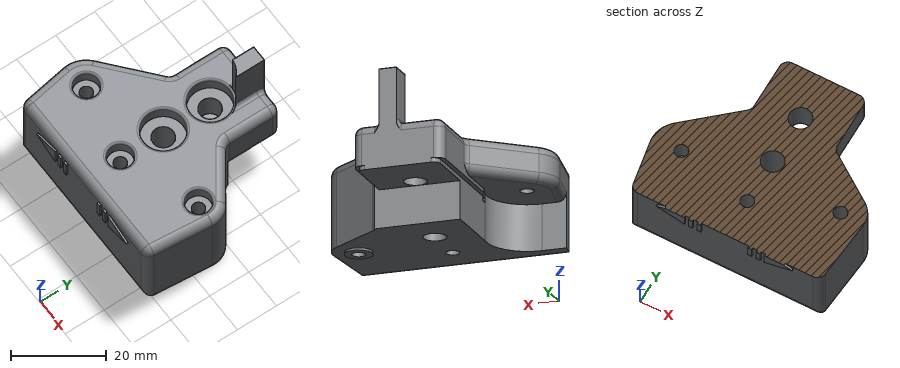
import math

import cadquery as cq


NECK_HALF_WIDTH = 10.0
BACK_Y = 22.97
FRONT_Y = -20.45
BODY_HEIGHT = 18.35
PLATE_THICKNESS = 8.05
EDGE_RADIUS = 2.0
NECK_ROOT_Y = 9.95

LARGE_HOLE_Y = (0.0, 12.0)
LARGE_HOLE = {"bore": 5.1, "counterbore": 10.0, "depth": 3.3}
SMALL_HOLE = {"bore": 3.0, "counterbore": 6.0, "depth": 3.0}
LEFT_HOLE = (-17.98, -7.0)
RIGHT_HOLE = (18.42, -4.0)
FRONT_HOLE = (0.0, -11.0)
RIM_RADIUS = 0.5

LEFT_WING_RADIUS = 6.95
RIGHT_WING_RADIUS = 5.71
FRONT_CORNER_LEFT_X = -21.0
FRONT_CORNER_RIGHT_X = 20.9

CLEARANCE_RADIUS = 9.05
NECK_STEP_Z = -8.9
NECK_BOTTOM_Z = -9.85
NECK_STEP_INSET = 1.0
NECK_FOOT_FRONT_Y = -6.0
NECK_FOOT_CORNER_RADIUS = 1.6
BLOCK_BACK_Y = 9.4

TAB_LEFT_X = 0.3
TAB_WIDTH = 3.85
TAB_HEIGHT = 12.0
TAB_ROOT_RADIUS = 1.0

PAD_DIAMETER = 6.0
PAD_HEIGHT = 0.5

MARK_RELIEF = 0.5
MARK_HEIGHT = 4.0
MARK_TOP_Z = -2.0
BAR_WIDTH = 1.0
BAR_INNER_X = (5.55, 7.6)
ARROW_BASE_X = 9.55
ARROW_TIP_X = 16.25

OVERSIZE = 100.0


def box(x_range, y_range, z_range):
    """Box spanning the given (low, high) ranges."""
    size = [high - low for low, high in (x_range, y_range, z_range)]
    return cq.Workplane("XY").box(*size, centered=False).translate((x_range[0], y_range[0], z_range[0]))


def polar(center, radius, angle):
    """Point at the given radius and angle from a center."""
    return (center[0] + radius * math.cos(angle), center[1] + radius * math.sin(angle))


def travel_angle(start, end):
    """Direction of the line tangent to two corner circles, which lie on its left (radius > 0) or right."""
    dx = end[0] - start[0]
    dy = end[1] - start[1]
    return math.atan2(dy, dx) - math.asin((end[2] - start[2]) / math.hypot(dx, dy))


def outline():
    """Closed outline of tangent lines and arcs, counterclockwise around the corner circles."""
    tip_x = NECK_HALF_WIDTH - EDGE_RADIUS
    tip_y = BACK_Y - EDGE_RADIUS
    root_x = NECK_HALF_WIDTH + EDGE_RADIUS
    front_y = FRONT_Y + EDGE_RADIUS
    corners = [
        (FRONT_CORNER_LEFT_X, front_y, EDGE_RADIUS),
        (FRONT_CORNER_RIGHT_X, front_y, EDGE_RADIUS),
        (*RIGHT_HOLE, RIGHT_WING_RADIUS),
        (root_x, NECK_ROOT_Y, -EDGE_RADIUS),
        (tip_x, tip_y, EDGE_RADIUS),
        (-tip_x, tip_y, EDGE_RADIUS),
        (-root_x, NECK_ROOT_Y, -EDGE_RADIUS),
        (*LEFT_HOLE, LEFT_WING_RADIUS),
    ]
    path = None
    for index, corner in enumerate(corners):
        x, y, radius = corner
        before = corners[index - 1]
        after = corners[(index + 1) % len(corners)]
        entry = travel_angle(before, corner) - math.pi / 2
        leave = travel_angle(corner, after) - math.pi / 2
        turn = math.remainder(leave - entry, 2 * math.pi)
        entry_point = polar((x, y), radius, entry)
        if path is None:
            path = cq.Workplane("XY").moveTo(*entry_point)
        else:
            path = path.lineTo(*entry_point)
        middle_point = polar((x, y), radius, entry + turn / 2)
        path = path.threePointArc(middle_point, polar((x, y), radius, leave))
    return path.close()


def make_plate():
    """Upper plate, rounded along its top and bottom edges."""
    return outline().extrude(-PLATE_THICKNESS).faces("<Z or >Z").edges().fillet(EDGE_RADIUS)


def make_full_body():
    """Outline at full height, rounded along the top edge and the lower front edge."""
    body = outline().extrude(-BODY_HEIGHT).faces(">Z").edges().fillet(EDGE_RADIUS)
    envelope = box((-OVERSIZE, OVERSIZE), (FRONT_Y, BACK_Y), (-BODY_HEIGHT, 0))
    envelope = envelope.edges("<Y and <Z").fillet(EDGE_RADIUS)
    return body.intersect(envelope)


def make_neck_foot():
    """Raised foot under the neck, with rounded corners at its back and at its front left."""
    half_width = NECK_HALF_WIDTH - NECK_STEP_INSET
    foot = box((-half_width, half_width), (NECK_FOOT_FRONT_Y, BACK_Y), (NECK_BOTTOM_Z, NECK_STEP_Z))
    foot = foot.edges("|Z and >Y").fillet(NECK_FOOT_CORNER_RADIUS)
    return foot.edges("|Z and <Y and <X").fillet(NECK_FOOT_CORNER_RADIUS)


def make_underside_space():
    """Space below the plate: round clearance under the left wing and room around the neck foot."""
    clearance_x, clearance_y = LEFT_HOLE
    wall_y = clearance_y - CLEARANCE_RADIUS
    step_x = NECK_HALF_WIDTH - NECK_STEP_INSET
    under_rounding = (-BODY_HEIGHT, -PLATE_THICKNESS + EDGE_RADIUS)
    under_step = (-BODY_HEIGHT, NECK_STEP_Z)

    space = (
        cq.Workplane("XY", origin=(clearance_x, clearance_y, -BODY_HEIGHT))
        .circle(CLEARANCE_RADIUS)
        .extrude(BODY_HEIGHT - PLATE_THICKNESS)
    )
    space = space.union(box((-OVERSIZE, clearance_x), (wall_y, OVERSIZE), under_rounding))
    space = space.union(box((-OVERSIZE, -NECK_HALF_WIDTH), (clearance_y, OVERSIZE), under_rounding))
    space = space.union(box((-OVERSIZE, -step_x), (clearance_y, OVERSIZE), under_step))

    behind_block = box((-OVERSIZE, OVERSIZE), (BLOCK_BACK_Y, OVERSIZE), under_step)
    corner_end_x = -step_x + NECK_FOOT_CORNER_RADIUS
    corner_end_y = NECK_FOOT_FRONT_Y + NECK_FOOT_CORNER_RADIUS
    front_corner = box(
        (-step_x, corner_end_x), (NECK_FOOT_FRONT_Y, corner_end_y), (NECK_BOTTOM_Z, NECK_STEP_Z)
    )
    return space.union(behind_block.union(front_corner).cut(make_neck_foot()))


def tab_root_fillet(corner_x, side):
    """Concave fillet beside the tab, following the flat top and the rounded back edge of the neck."""
    bend_y = BACK_Y - EDGE_RADIUS
    outer_x = corner_x + side * TAB_ROOT_RADIUS
    arc_middle_angle = -math.pi / 2 - side * math.pi / 4
    arc_middle = polar((outer_x, TAB_ROOT_RADIUS), TAB_ROOT_RADIUS, arc_middle_angle)

    def section():
        """Fillet profile where the flat top meets the rounded edge."""
        return (
            cq.Workplane("XZ", origin=(0, bend_y, 0))
            .moveTo(corner_x, 0)
            .lineTo(outer_x, 0)
            .threePointArc(arc_middle, (corner_x, TAB_ROOT_RADIUS))
            .close()
        )

    straight = section().extrude(bend_y - LARGE_HOLE_Y[1])
    bend = section().revolve(90, (1, -EDGE_RADIUS, 0), (0, -EDGE_RADIUS, 0))
    bend = bend.intersect(box((-OVERSIZE, OVERSIZE), (0, BACK_Y), (-OVERSIZE, OVERSIZE)))
    return straight.union(bend)


def make_tab():
    """Upright tab at the back of the neck, hollowed around the rear screw head."""
    hole_y = LARGE_HOLE_Y[1]
    right_x = TAB_LEFT_X + TAB_WIDTH
    tab = box((TAB_LEFT_X, right_x), (hole_y, BACK_Y), (-EDGE_RADIUS, TAB_HEIGHT))
    tab = tab.union(tab_root_fillet(TAB_LEFT_X, -1))
    tab = tab.union(tab_root_fillet(right_x, 1))
    rim = LARGE_HOLE["counterbore"] / 2 + RIM_RADIUS
    head_space = cq.Workplane("XY").center(0, hole_y).circle(rim).extrude(TAB_HEIGHT)
    return tab.cut(head_space)


def screw_hole(position, size):
    """Cutter for a through hole with a counterbore and a rounded rim."""
    bore = size["bore"] / 2
    counterbore = size["counterbore"] / 2
    rim = counterbore + RIM_RADIUS
    bottom_z = -BODY_HEIGHT - PAD_HEIGHT
    arc_middle = polar((rim, -RIM_RADIUS), RIM_RADIUS, 3 * math.pi / 4)
    return (
        cq.Workplane("XZ")
        .moveTo(0, bottom_z)
        .lineTo(bore, bottom_z)
        .lineTo(bore, -size["depth"])
        .lineTo(counterbore, -size["depth"])
        .lineTo(counterbore, -RIM_RADIUS)
        .threePointArc(arc_middle, (rim, 0))
        .lineTo(0, 0)
        .close()
        .revolve(360, (0, 0, 0), (0, 1, 0))
        .translate((*position, 0))
    )


def make_pad():
    """Round pad under the right hole."""
    pad = cq.Workplane("XY", origin=(0, 0, -BODY_HEIGHT)).center(*RIGHT_HOLE)
    return pad.circle(PAD_DIAMETER / 2).extrude(-PAD_HEIGHT)


def make_front_marks():
    """Raised bars and arrow heads, mirrored about X = 0."""
    face = cq.Workplane("XZ", origin=(0, FRONT_Y, 0))
    middle_z = MARK_TOP_Z - MARK_HEIGHT / 2
    bottom_z = MARK_TOP_Z - MARK_HEIGHT
    arrow = [(ARROW_BASE_X, MARK_TOP_Z), (ARROW_TIP_X, middle_z), (ARROW_BASE_X, bottom_z)]
    marks = face.polyline(arrow).close().extrude(MARK_RELIEF)
    for inner_x in BAR_INNER_X:
        bar = face.center(inner_x + BAR_WIDTH / 2, middle_z).rect(BAR_WIDTH, MARK_HEIGHT)
        marks = marks.union(bar.extrude(MARK_RELIEF))
    return marks.union(marks.mirror("YZ"))


result = make_full_body().cut(make_underside_space()).union(make_plate())
result = result.union(make_tab()).union(make_pad()).union(make_front_marks())
for large_y in LARGE_HOLE_Y:
    result = result.cut(screw_hole((0, large_y), LARGE_HOLE))
for small_position in (LEFT_HOLE, RIGHT_HOLE, FRONT_HOLE):
    result = result.cut(screw_hole(small_position, SMALL_HOLE))